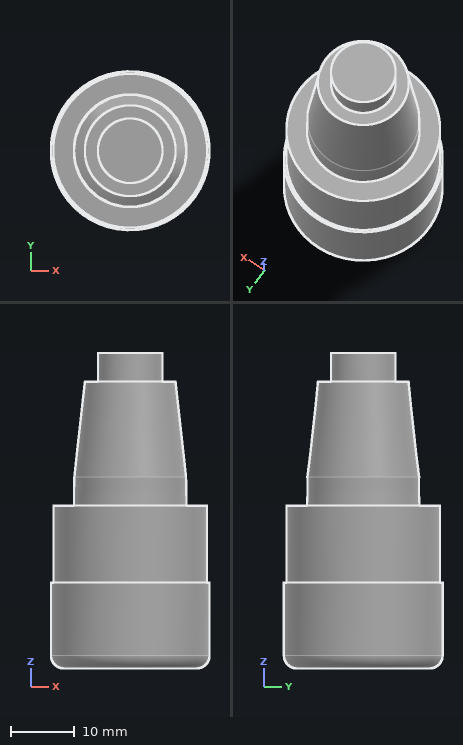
import cadquery as cq

TOTAL_HEIGHT = 49.6
CONE_TOP = 45.1
CONE_BASE = 30.1
SHOULDER = 25.6
CAP_HEIGHT = 13.5

CAP_DIAMETER = 25.0
CAP_EDGE_RADIUS = 2.1
BARREL_DIAMETER = 24.2
COLLAR_BASE_DIAMETER = 17.75
CONE_BASE_DIAMETER = 17.6
CONE_TOP_DIAMETER = 14.3
TIP_DIAMETER = 10.15


def make_cap():
    """Round base cap with a rounded lower edge."""
    cap = cq.Workplane("XY").circle(CAP_DIAMETER / 2).extrude(CAP_HEIGHT)
    return cap.faces("<Z").edges().fillet(CAP_EDGE_RADIUS)


def make_barrel():
    """Turned barrel, tapered collar, cone and tip, standing on the cap."""
    profile = [
        (0, CAP_HEIGHT),
        (BARREL_DIAMETER / 2, CAP_HEIGHT),
        (BARREL_DIAMETER / 2, SHOULDER),
        (COLLAR_BASE_DIAMETER / 2, SHOULDER),
        (CONE_BASE_DIAMETER / 2, CONE_BASE),
        (CONE_TOP_DIAMETER / 2, CONE_TOP),
        (TIP_DIAMETER / 2, CONE_TOP),
        (TIP_DIAMETER / 2, TOTAL_HEIGHT),
        (0, TOTAL_HEIGHT),
    ]
    return cq.Workplane("XZ").polyline(profile).close().revolve(360, (0, 0, 0), (0, 1, 0))


cap = make_cap()
barrel = make_barrel()

result = cq.Compound.makeCompound([cap.val(), barrel.val()])